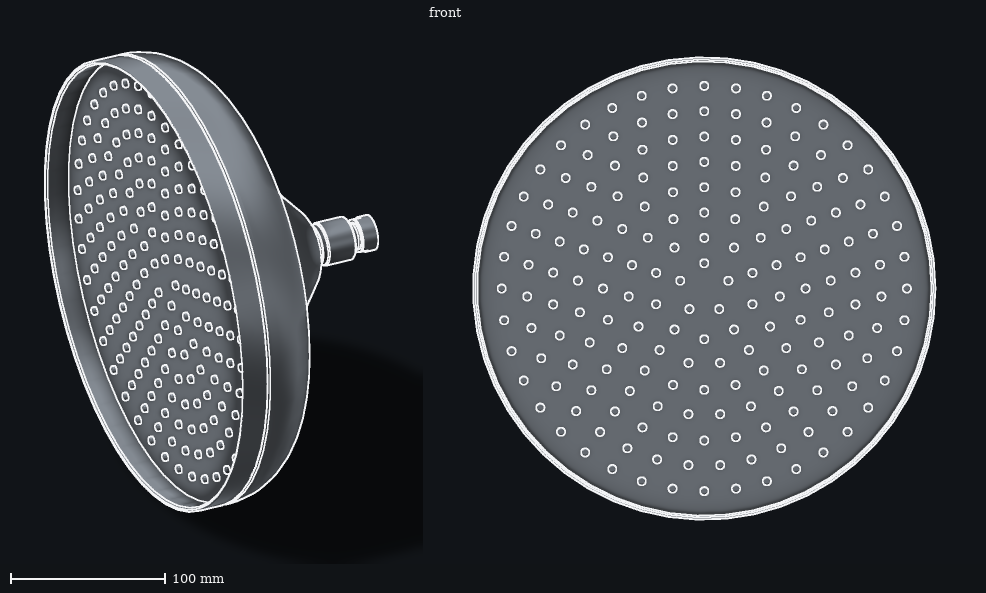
import cadquery as cq
import math


RIM_RADIUS = 150.0
RIM_WALL = 2.7
RIM_HEIGHT = 17.7
RIM_BACK_ROUND = 1.2
RIM_FRONT_ROUND = 0.5
RIM_LIP_CHAMFER = 1.2

PLATE_RADIUS = RIM_RADIUS - RIM_WALL
PLATE_FACE = 16.2
NOZZLE_RINGS = 8
OUTER_RING_RADIUS = 131.5
RING_PITCH = OUTER_RING_RADIUS / NOZZLE_RINGS
NOZZLES_PER_RING_STEP = 5
NOZZLE_RADIUS = 2.7
NOZZLE_ROUND = 1.5
NOZZLE_HEIGHT = 2.7

DOME_EDGE_CHAMFER = 1.5
DOME_BAND_TOP = 22.2
DOME_TOP = 118.2
SHOULDER_RADIUS = 40.2
FLARE_START_ANGLE = 14.0
FLARE_TOP_RADIUS = 22.2
CROWN_ROUND = 10.8

COLLAR_RADIUS = 14.5
COLLAR_NECK_RADIUS = 13.5
COLLAR_CHAMFER = 1.0
COLLAR_FLANGE_TOP = 122.7

NUT_RADIUS = 14.5
NUT_BOTTOM = 126.0
NUT_TOP = 146.0
NUT_CHAMFER = 1.0

BALL_RADIUS = 11.0
BALL_CENTER = 143.7
INLET_NECK_RADIUS = 9.0
HEAD_RADIUS = 11.7
HEAD_BOTTOM = 151.8
HEAD_TOP = 163.0
HEAD_CHAMFER = 0.5
FLAT_TOP = 156.5
FLAT_DISTANCE = 10.8
FLAT_TILT = 30.0


def turned(profile):
    """Revolve a closed (radius, height) profile about the Y axis."""
    return profile.close().revolve(360, (0, 0, 0), (0, 1, 0))


def cylinder(radius, bottom, top):
    """Solid cylinder on the Y axis between two heights."""
    return turned(cq.Workplane("XY").moveTo(0, bottom).lineTo(radius, bottom).lineTo(radius, top).lineTo(0, top))


def ball():
    """Swivel ball on the Y axis."""
    return cq.Workplane("XY").sphere(BALL_RADIUS).translate((0, BALL_CENTER, 0))


def make_rim():
    ring = cylinder(RIM_RADIUS, 0, RIM_HEIGHT)
    ring = ring.faces(">Y").edges().fillet(RIM_BACK_ROUND)
    ring = ring.faces("<Y").edges().fillet(RIM_FRONT_ROUND)
    ring = ring.cut(cylinder(PLATE_RADIUS, 0, RIM_HEIGHT))
    inner_lip_edge = cq.selectors.RadiusNthSelector(0)
    return ring.faces("<Y").edges(inner_lip_edge).chamfer(RIM_LIP_CHAMFER)


def make_spray_plate():
    plate = cylinder(PLATE_RADIUS, PLATE_FACE, RIM_HEIGHT)
    tip = PLATE_FACE - NOZZLE_HEIGHT
    nozzle = turned(
        cq.Workplane("XY")
        .moveTo(0, tip)
        .lineTo(NOZZLE_RADIUS - NOZZLE_ROUND, tip)
        .tangentArcPoint((NOZZLE_RADIUS, tip + NOZZLE_ROUND), relative=False)
        .lineTo(NOZZLE_RADIUS, RIM_HEIGHT)
        .lineTo(0, RIM_HEIGHT)
    ).val()
    nozzles = []
    for ring in range(1, NOZZLE_RINGS + 1):
        count = NOZZLES_PER_RING_STEP * ring
        for i in range(count):
            angle = 2 * math.pi * i / count
            x = ring * RING_PITCH * math.sin(angle)
            z = ring * RING_PITCH * math.cos(angle)
            nozzles.append(nozzle.translate(cq.Vector(x, 0, z)))
    return cq.Workplane(plate.val().fuse(*nozzles).clean())


def make_dome():
    start = math.radians(FLARE_START_ANGLE)
    flare_start_radius = RIM_RADIUS - SHOULDER_RADIUS * (1 - math.sin(start))
    flare_start_y = DOME_BAND_TOP + SHOULDER_RADIUS * math.cos(start)
    body = turned(
        cq.Workplane("XY")
        .moveTo(0, RIM_HEIGHT)
        .lineTo(RIM_RADIUS - DOME_EDGE_CHAMFER, RIM_HEIGHT)
        .lineTo(RIM_RADIUS, RIM_HEIGHT + DOME_EDGE_CHAMFER)
        .lineTo(RIM_RADIUS, DOME_BAND_TOP)
        .tangentArcPoint((flare_start_radius, flare_start_y), relative=False)
        .tangentArcPoint((FLARE_TOP_RADIUS, DOME_TOP), relative=False)
        .lineTo(0, DOME_TOP)
    )
    return body.faces(">Y").edges().fillet(CROWN_ROUND)


def make_collar():
    flange = cylinder(COLLAR_RADIUS, DOME_TOP, COLLAR_FLANGE_TOP).edges().chamfer(COLLAR_CHAMFER)
    return flange.union(cylinder(COLLAR_NECK_RADIUS, DOME_TOP, NUT_BOTTOM))


def make_nut():
    return cylinder(NUT_RADIUS, NUT_BOTTOM, NUT_TOP).edges().chamfer(NUT_CHAMFER).cut(ball())


def make_inlet():
    neck = cylinder(INLET_NECK_RADIUS, BALL_CENTER, HEAD_BOTTOM)
    head = cylinder(HEAD_RADIUS, HEAD_BOTTOM, HEAD_TOP).faces("<Y").chamfer(HEAD_CHAMFER)
    depth = HEAD_RADIUS - FLAT_DISTANCE
    height = FLAT_TOP - HEAD_BOTTOM
    for side in (1, -1):
        flat = (
            cq.Workplane("XY")
            .box(2 * HEAD_RADIUS, height, depth)
            .translate((0, HEAD_BOTTOM + height / 2, side * (FLAT_DISTANCE + depth / 2)))
            .rotate((0, 0, 0), (0, 1, 0), -FLAT_TILT)
        )
        head = head.cut(flat)
    return head.union(neck).union(ball())


rim = make_rim()
spray_plate = make_spray_plate()
dome = make_dome()
collar = make_collar()
nut = make_nut()
inlet = make_inlet()

result = cq.Compound.makeCompound(
    [rim.val(), spray_plate.val(), dome.val(), collar.val(), nut.val(), inlet.val()]
)